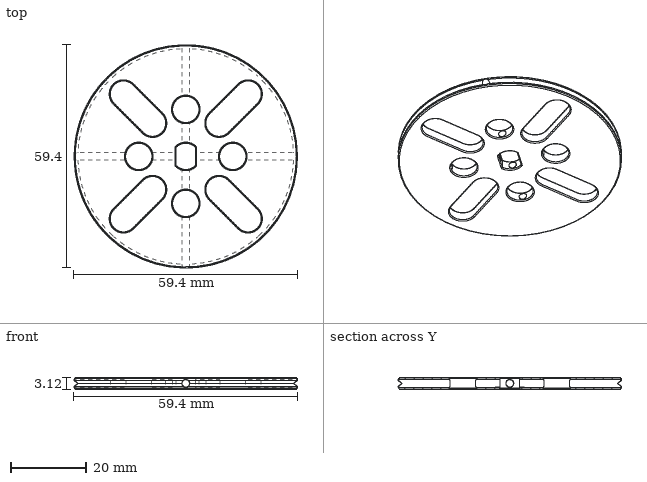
import cadquery as cq

disc_diameter = 59.38
thickness = 3.12
edge_chamfer = 0.3

flange_thickness = 0.8
groove_width = thickness - 2 * flange_thickness
groove_depth = 1.0

opening_count = 4
opening_spacing = 360 / opening_count
hole_diameter = 7.0
hole_circle_radius = 12.5
slot_width = hole_diameter
slot_inner_radius = hole_circle_radius
slot_outer_radius = 23.44
first_slot_angle = opening_spacing / 2
bore_diameter = 7.0
bore_flat_distance = 5.1

cross_hole_diameter = 2.0
cross_hole_seam_roll = 45


def make_disc():
    """Chamfered disc, centred on the origin, with a V-groove in its rim."""
    radius = disc_diameter / 2
    half_thickness = thickness / 2
    half_groove = groove_width / 2
    return (
        cq.Workplane("XZ")
        .moveTo(0, -half_thickness)
        .lineTo(radius - edge_chamfer, -half_thickness)
        .lineTo(radius, -half_thickness + edge_chamfer)
        .lineTo(radius, -half_groove)
        .lineTo(radius - groove_depth, 0)
        .lineTo(radius, half_groove)
        .lineTo(radius, half_thickness - edge_chamfer)
        .lineTo(radius - edge_chamfer, half_thickness)
        .lineTo(0, half_thickness)
        .close()
        .revolve(360, (0, 0, 0), (0, 1, 0))
    )


def centred_cylinder(diameter):
    """Cylinder through the full thickness of the disc, on the Z axis."""
    return cq.Workplane("XY").cylinder(thickness, diameter / 2)


def make_bore():
    """Cutter for the centre bore, with a flat on its +X and -X sides."""
    between_flats = cq.Workplane("XY").box(bore_flat_distance, bore_diameter, thickness)
    return centred_cylinder(bore_diameter).intersect(between_flats)


def make_round_hole():
    """Cutter for the round hole on the +X axis."""
    return centred_cylinder(hole_diameter).translate((hole_circle_radius, 0, 0))


def make_slot():
    """Cutter for a radial slot, laid along the +X axis."""
    straight_length = slot_outer_radius - slot_inner_radius
    middle_radius = (slot_inner_radius + slot_outer_radius) / 2
    return (
        cq.Workplane("XY")
        .center(middle_radius, 0)
        .slot2D(straight_length + slot_width, slot_width)
        .extrude(thickness / 2, both=True)
    )


def turned(cutter, angle):
    """Cutter turned about the Z axis by an angle in degrees."""
    return cutter.rotate((0, 0, 0), (0, 0, 1), angle)


def make_openings():
    """Cutters for the bore, the round holes on the axes and the slots on the diagonals."""
    openings = make_bore()
    hole = make_round_hole()
    slot = make_slot()
    for index in range(opening_count):
        turn = index * opening_spacing
        openings = openings.union(turned(hole, turn))
        openings = openings.union(turned(slot, first_slot_angle + turn))
    return openings


def make_cross_hole(plane):
    """Round hole across the whole disc, normal to the given plane.

    The cylinder is rolled so that its seam line stays clear of the bottom of the groove.
    """
    return (
        cq.Workplane(plane)
        .transformed(rotate=(0, 0, cross_hole_seam_roll))
        .circle(cross_hole_diameter / 2)
        .extrude(disc_diameter, both=True)
    )


def chamfer_openings(body):
    """Chamfer the edges of every opening on both faces."""
    opening_edges = [
        edge
        for face in body.faces("|Z").vals()
        for wire in face.innerWires()
        for edge in wire.Edges()
    ]
    return body.newObject(opening_edges).chamfer(edge_chamfer)


body = make_disc().cut(make_openings())
body = chamfer_openings(body)
result = body.cut(make_cross_hole("XZ")).cut(make_cross_hole("YZ"))